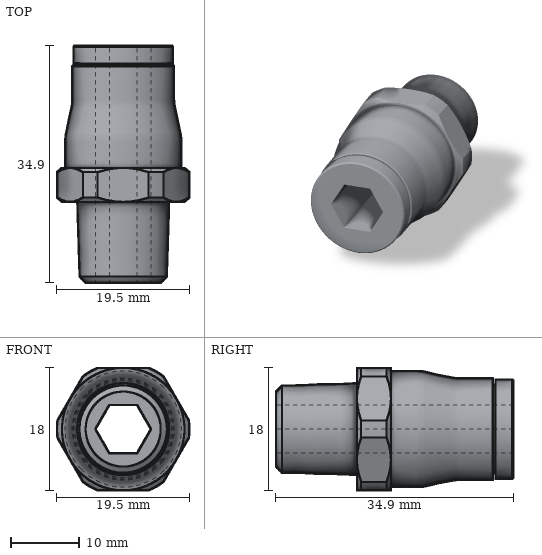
import cadquery as cq
import math

length = 34.9

thread_root_radius = 6.77
thread_mid_radius = 6.6
thread_tip_radius = 6.42
thread_break_y = 6.18
tip_chamfer = 0.9

nut_start_y = 11.9
nut_width = 5.0
nut_across_flats = 18.0
nut_across_corners = 19.5
nut_chamfer_height = 0.63

large_radius = 8.55
small_radius = 7.5
cone_start_y = 21.35
cone_end_y = 26.3
blend_radius = 4.5
body_end_y = 31.95
body_edge_chamfer = 0.1

groove_radius = 6.55
collar_start_y = 32.25
collar_radius = 7.33
collar_edge_chamfer = 0.2

bore_across_flats = 7.05

nut_end_y = nut_start_y + nut_width


def hexagonal_prism(across_flats, start_y, depth):
    """Hexagon with two corners on the X axis, extruded toward +Y."""
    across_corners = across_flats / math.cos(math.pi / 6)
    plane = cq.Workplane("XZ", origin=(0, start_y, 0))
    return plane.polygon(6, across_corners).extrude(-depth)


def revolve_about_y(profile):
    """Close a profile drawn in the XY plane and revolve it about the Y axis."""
    return profile.close().revolve(360, (0, 0, 0), (0, 1, 0))


def make_turned_body():
    cone_angle = math.atan2(large_radius - small_radius, cone_end_y - cone_start_y)
    tangent_length = blend_radius * math.tan(cone_angle / 2)
    tangent_dx = tangent_length * math.sin(cone_angle)
    tangent_dy = tangent_length * math.cos(cone_angle)
    cone_start = (large_radius - tangent_dx, cone_start_y + tangent_dy)
    cone_end = (small_radius + tangent_dx, cone_end_y - tangent_dy)

    profile = (
        cq.Workplane("XY")
        .moveTo(0, 0)
        .lineTo(thread_tip_radius - tip_chamfer, 0)
        .lineTo(thread_tip_radius, tip_chamfer)
        .lineTo(thread_mid_radius, thread_break_y)
        .lineTo(thread_root_radius, nut_start_y)
        .lineTo(thread_root_radius, nut_end_y)
        .lineTo(large_radius, nut_end_y)
        .lineTo(large_radius, cone_start_y - tangent_length)
        .tangentArcPoint(cone_start, relative=False)
        .lineTo(*cone_end)
        .tangentArcPoint((small_radius, cone_end_y + tangent_length), relative=False)
        .lineTo(small_radius, body_end_y - body_edge_chamfer)
        .lineTo(small_radius - body_edge_chamfer, body_end_y)
        .lineTo(groove_radius, body_end_y)
        .lineTo(groove_radius, collar_start_y)
        .lineTo(collar_radius, collar_start_y)
        .lineTo(collar_radius, length - collar_edge_chamfer)
        .lineTo(collar_radius - collar_edge_chamfer, length)
        .lineTo(0, length)
    )
    return revolve_about_y(profile)


def make_nut():
    face_radius = nut_across_flats / 2
    nut_corner_radius = nut_across_corners / 2
    envelope = revolve_about_y(
        cq.Workplane("XY")
        .moveTo(0, nut_start_y)
        .lineTo(face_radius, nut_start_y)
        .lineTo(nut_corner_radius, nut_start_y + nut_chamfer_height)
        .lineTo(nut_corner_radius, nut_end_y - nut_chamfer_height)
        .lineTo(face_radius, nut_end_y)
        .lineTo(0, nut_end_y)
    )
    return hexagonal_prism(nut_across_flats, nut_start_y, nut_width).intersect(envelope)


bore = hexagonal_prism(bore_across_flats, 0, length)
result = make_turned_body().union(make_nut()).cut(bore)